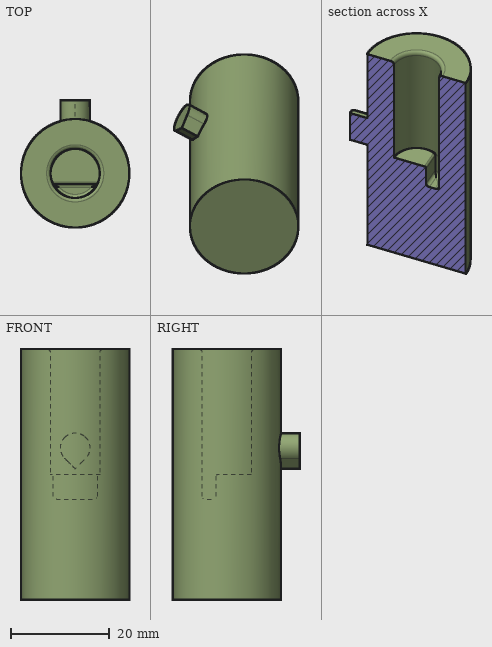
import cadquery as cq
import math

body_diameter = 22.0
body_radius = body_diameter / 2
body_length = 50.8

bore_radius = 5.0
mouth_fillet = 0.8
bore_depth = body_length / 2
bore_floor_z = body_length - bore_depth

step_y = -2.2
pocket_depth = 5.1
step_edge_fillet = 0.4
pocket_floor_fillet = 0.7

overall_y = 25.8
pin_end_y = overall_y - body_radius
pin_radius = 3.0
pin_center_z = 30.8


def cut_bore(body):
    """Cut the round blind bore and round its mouth."""
    bored = body.faces(">Z").workplane().hole(2 * bore_radius, bore_depth)
    mouth_rim = cq.selectors.RadiusNthSelector(0)
    return bored.faces(">Z").edges(mouth_rim).fillet(mouth_fillet)


def make_pocket():
    """Circular segment on the -Y side of the step, rounded around its floor."""
    half_chord = math.sqrt(bore_radius**2 - step_y**2)
    segment = (
        cq.Workplane("XY", origin=(0, 0, bore_floor_z - pocket_depth))
        .moveTo(-half_chord, step_y)
        .threePointArc((0, -bore_radius), (half_chord, step_y))
        .close()
        .extrude(pocket_depth)
    )
    return segment.faces("<Z").edges().fillet(pocket_floor_fillet)


def make_step_rounding():
    """Sliver removed along the top edge of the step to leave it rounded."""
    corner_y = step_y + step_edge_fillet
    corner_z = bore_floor_z - step_edge_fillet
    arc_offset = step_edge_fillet * math.sqrt(0.5)
    sliver = (
        cq.Workplane("YZ")
        .moveTo(step_y, bore_floor_z)
        .lineTo(step_y, corner_z)
        .threePointArc((corner_y - arc_offset, corner_z + arc_offset), (corner_y, bore_floor_z))
        .close()
        .extrude(bore_radius, both=True)
    )
    bore_core = (
        cq.Workplane("XY", origin=(0, 0, bore_floor_z - pocket_depth))
        .circle(bore_radius)
        .extrude(pocket_depth)
    )
    return sliver.intersect(bore_core)


def make_pin():
    """Round pin whose underside runs along 45 degree tangents to a point."""
    tangent_offset = pin_radius * math.sqrt(0.5)
    tangent_z = pin_center_z - tangent_offset
    point_z = pin_center_z - pin_radius * math.sqrt(2)
    pin_root_y = (bore_radius + body_radius) / 2
    return (
        cq.Workplane("XZ", origin=(0, pin_root_y, 0))
        .moveTo(-tangent_offset, tangent_z)
        .threePointArc((0, pin_center_z + pin_radius), (tangent_offset, tangent_z))
        .lineTo(0, point_z)
        .close()
        .extrude(pin_root_y - pin_end_y)
    )


body = cut_bore(cq.Workplane("XY").circle(body_radius).extrude(body_length))
result = body.cut(make_pocket()).cut(make_step_rounding()).union(make_pin())